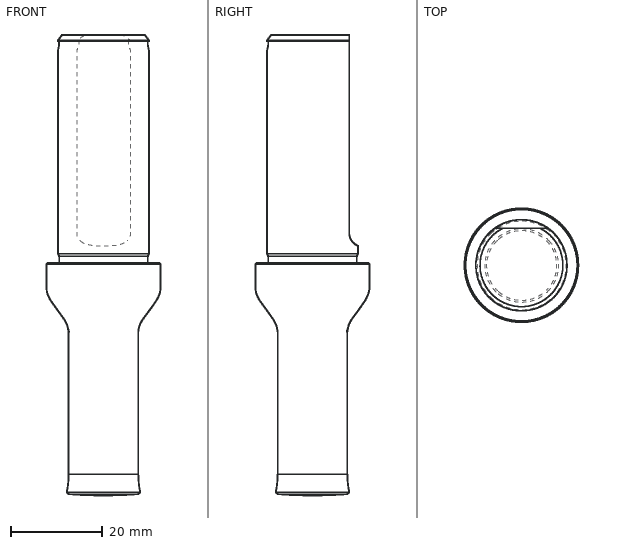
import cadquery as cq
import math

total_height = 101.0
tip_height = 4.6
neck_top = 36.0
collar_bottom = 45.3
collar_top = 51.0

shank_radius = 20.0 / 2
groove_radius = 19.5 / 2
collar_radius = 25.0 / 2
neck_radius = 15.4 / 2

top_chamfer_width = 0.9
top_chamfer_height = 1.2
land_bottom = 99.6
groove_floor_bottom = 98.8
groove_taper_bottom = 97.6

relief_taper_top = 53.0
relief_taper_bottom = 52.4
relief_rim_radius = 10.8
relief_depth = 0.3
collar_chamfer = 0.3

flat_offset = 8.1
runout_radius = 3.0
runout_center_height = 57.6

tip_radius = 8.1
tip_edge_height = 0.7
tip_bevel = 0.4


def shoulder_controls():
    """Bezier points of the S-shaped shoulder, vertical where it leaves the neck and the collar."""
    handle = (collar_bottom - neck_top) / 3
    return [
        (neck_radius, neck_top),
        (neck_radius, neck_top + handle),
        (collar_radius, collar_bottom - handle),
        (collar_radius, collar_bottom),
    ]


def make_holder_blank():
    """Shank, collar, shoulder and neck, turned about Z."""
    return (
        cq.Workplane("XZ")
        .moveTo(0, tip_height)
        .lineTo(neck_radius, tip_height)
        .lineTo(neck_radius, neck_top)
        .bezier(shoulder_controls())
        .lineTo(collar_radius, collar_top - collar_chamfer)
        .lineTo(collar_radius - collar_chamfer, collar_top)
        .lineTo(relief_rim_radius, collar_top)
        .lineTo(groove_radius, collar_top - relief_depth)
        .lineTo(groove_radius, relief_taper_bottom)
        .lineTo(shank_radius, relief_taper_top)
        .lineTo(shank_radius, groove_taper_bottom)
        .lineTo(groove_radius, groove_floor_bottom)
        .lineTo(groove_radius, land_bottom)
        .lineTo(shank_radius, land_bottom)
        .lineTo(shank_radius, total_height - top_chamfer_height)
        .lineTo(shank_radius - top_chamfer_width, total_height)
        .lineTo(0, total_height)
        .close()
        .revolve(360, (0, 0), (0, 1))
    )


def make_flat_cutter():
    """Material outside the flat, ending below in a quarter-round run-out."""
    center_y = flat_offset + runout_radius
    arc_reach = runout_radius * math.sqrt(0.5)
    return (
        cq.Workplane("YZ")
        .moveTo(flat_offset, total_height)
        .lineTo(flat_offset, runout_center_height)
        .threePointArc(
            (center_y - arc_reach, runout_center_height - arc_reach),
            (center_y, runout_center_height - runout_radius),
        )
        .lineTo(center_y, total_height)
        .close()
        .extrude(shank_radius, both=True)
    )


def make_tip():
    """Tip that flares outward below the neck and closes in a shallow dome."""
    flare = tip_radius - neck_radius
    flare_middle = (neck_radius + flare / 4, (tip_height + tip_edge_height) / 2)
    dome_radius = tip_radius - tip_bevel
    dome_rise = tip_edge_height - tip_bevel
    return (
        cq.Workplane("XZ")
        .moveTo(0, 0)
        .threePointArc((dome_radius / 2, dome_rise / 4), (dome_radius, dome_rise))
        .lineTo(tip_radius, tip_edge_height)
        .threePointArc(flare_middle, (neck_radius, tip_height))
        .lineTo(0, tip_height)
        .close()
        .revolve(360, (0, 0), (0, 1))
    )


holder = make_holder_blank().cut(make_flat_cutter())
tip = make_tip()

result = cq.Compound.makeCompound([holder.val(), tip.val()])